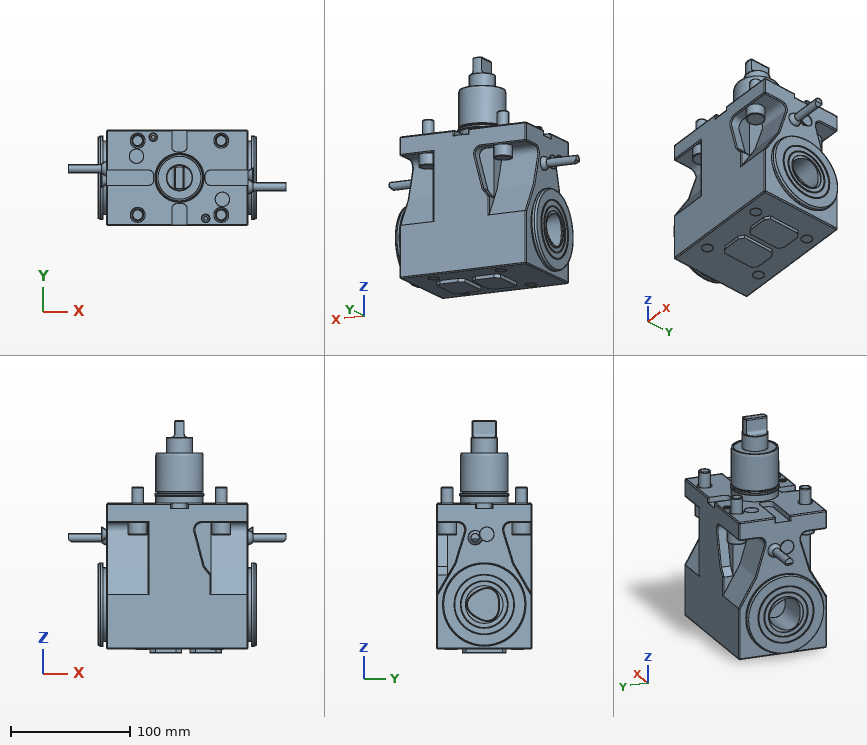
import cadquery as cq
import math


BODY_LENGTH = 118.6
BODY_WIDTH = 80.0
BODY_HEIGHT = 122.3
BODY_CENTER_X = -1.85
EDGE_CHAMFER = 1.0
HALF_LENGTH = BODY_LENGTH / 2
HALF_WIDTH = BODY_WIDTH / 2

SHELF_DEPTH = 16.3
POCKET_WALL_X = 26.5
NECK_HALF_WIDTH = 14.2
BEND_HALF_WIDTH = 24.7
BEND_DEPTH = 50.5
POCKET_BOTTOM = 76.6
SHELF_FILLET = 6.0
BEND_FILLET = 9.7
OVERCUT = 9.7

WINDOW_DEPTH = 9.1
WINDOW_TOP_X = 11.0
WINDOW_BEND_X = 20.8
WINDOW_BEND_DEPTH = 53.1
WINDOW_BOTTOM = 60.1

KEYWAY_WIDTH = 12.8
KEYWAY_DEPTH = 4.7
KEYWAY_START = 21.5
KEYWAY_CORNER = 4.5

COLLAR_DIAMETER = 39.9
COLLAR_TOP = 42.0
COLLAR_CHAMFER_WIDTH = 0.5
COLLAR_CHAMFER_HEIGHT = 2.3
COLLAR_RECESS_DIAMETER = 36.0
COLLAR_RECESS_DEPTH = 0.4
COLLAR_ROOT = 2.0
SEAL_GROOVE_DIAMETER = 36.5
SEAL_GROOVE_BOTTOM = 5.6
SEAL_GROOVE_TOP = 9.7
SEAL_DIAMETER = 41.2
SEAL_HEIGHT = 3.0
SEAL_CHAMFER = 0.8
NECK_DIAMETER = 22.0
NECK_TOP = 55.0
NECK_CHAMFER = 0.4
TANG_DIAMETER = 20.6
TANG_THICKNESS = 8.0
TANG_TOP = 69.0
TANG_FILLET = 3.1
TANG_CHAMFER_WIDTH = 0.5
TANG_CHAMFER_HEIGHT = 1.2

SCREW_X = 35.0
SCREW_Y = 31.1
SCREW_DIAMETER = 10.0
SCREW_TOP = 13.5
SCREW_CHAMFER = 0.8
HEAD_DIAMETER = 16.0
HEAD_HEIGHT = 10.3
HEAD_CHAMFER = 0.5
COUNTERSINK_DIAMETER = 12.5

SEAT_X = 36.0
SEAT_Y = 18.0
SEAT_DIAMETER = 12.0
SEAT_DEPTH = 0.2

SET_SCREW_X = 22.0
SET_SCREW_Y = 34.0
SET_SCREW_RIM = 7.0
SET_SCREW_DIAMETER = 6.0
SET_SCREW_RECESS = 1.0
HEX_SIZE = 3.5
HEX_DEPTH = 3.0

FLANGE_AXIS_Z = -85.0
FLANGE_DIAMETER = 70.0
FLANGE_FACE_DIAMETER = 68.0
FLANGE_THICKNESS = 4.0
FLANGE_BEVEL = 2.0
HUB_DIAMETER = 62.0
FLANGE_REACH = 7.0
RING_GROOVE_DIAMETERS = (50.5, 39.9)
RING_GROOVE_SIZE = 0.5
SOCKET_RIM_DIAMETER = 31.5
SOCKET_RIM_DEPTH = 0.5
SOCKET_MEAN_RADIUS = 13.9
SOCKET_LOBE = 1.0
SOCKET_DEPTH = 31.1
SOCKET_NARROWING = 0.8
SOCKET_POINTS = 36

PIPE_Y = 7.5
PIPE_Z = -29.0
PIPE_DIAMETER = 7.0
PIPE_REACH = 32.0
PIPE_TIP_BEVEL = 2.5
PIPE_BASE_DIAMETER = 12.0
PIPE_BASE_SINK = 0.5
PLUG_Y = -2.1
PLUG_Z = -26.0
PLUG_DIAMETER = 12.0
PLUG_ROOT_DIAMETER = 6.6
PLUG_RIM = 0.5
PLUG_REACH = 4.3

PAD_CENTERS_X = (-11.5, 22.0)
PAD_LENGTH = 26.5
PAD_WIDTH = 36.5
PAD_HEIGHT = 3.1
PAD_CORNER_X = 4.7
PAD_CORNER_Y = 3.1
DISC_X = 31.5
DISC_Y = 28.0
DISC_DIAMETER = 10.0
DISC_HEIGHT = 0.4


def turned(profile):
    """Revolve (radius, height) points around the Z axis."""
    return cq.Workplane("XZ").polyline(profile).close().revolve(360, (0, 0), (0, 1))


def half_turned(shape):
    """The same shape turned half a revolution around the spindle axis."""
    return shape.rotate((0, 0, 0), (0, 0, 1), 180)


def pocket_cutter():
    """The prism along X that clears one side of the neck, on the +Y side."""
    outside = HALF_WIDTH + OVERCUT
    points = [
        (outside, -SHELF_DEPTH),
        (NECK_HALF_WIDTH, -SHELF_DEPTH),
        (BEND_HALF_WIDTH, -BEND_DEPTH),
        (HALF_WIDTH, -POCKET_BOTTOM),
        (outside, -POCKET_BOTTOM),
    ]
    prism = cq.Workplane("YZ").workplane(offset=POCKET_WALL_X).polyline(points).close().extrude(HALF_LENGTH)
    prism = prism.edges(cq.NearestToPointSelector((HALF_LENGTH, NECK_HALF_WIDTH, -SHELF_DEPTH)))
    prism = prism.fillet(SHELF_FILLET)
    bend = cq.NearestToPointSelector((POCKET_WALL_X + HALF_LENGTH / 2, BEND_HALF_WIDTH, -BEND_DEPTH))
    return prism.edges("|X").edges(bend).fillet(BEND_FILLET)


def window_cutter():
    """The shallow window beside the pocket on the -Y, +X corner."""
    inside_pocket = POCKET_WALL_X + 2
    points = [
        (inside_pocket, -SHELF_DEPTH),
        (WINDOW_TOP_X, -SHELF_DEPTH),
        (WINDOW_BEND_X, -WINDOW_BEND_DEPTH),
        (POCKET_WALL_X, -WINDOW_BOTTOM),
        (inside_pocket, -WINDOW_BOTTOM),
    ]
    floor_y = WINDOW_DEPTH - HALF_WIDTH
    window = cq.Workplane("XZ", origin=(0, floor_y, 0)).polyline(points).close().extrude(WINDOW_DEPTH)
    corner = cq.NearestToPointSelector((WINDOW_TOP_X, floor_y - WINDOW_DEPTH / 2, -SHELF_DEPTH))
    return window.edges("|Y").edges(corner).fillet(SHELF_FILLET)


def keyway_cutter(angle):
    """A keyway running outward from the spindle."""
    length = HALF_LENGTH + OVERCUT
    slot = cq.Workplane("XY").box(length, KEYWAY_WIDTH, KEYWAY_DEPTH, centered=(False, True, False))
    slot = slot.edges("|Z and <X").fillet(KEYWAY_CORNER)
    return slot.translate((KEYWAY_START, 0, -KEYWAY_DEPTH)).rotate((0, 0, 0), (0, 0, 1), angle)


def is_chamfered(edge):
    """All outer edges but the keyway floors and the lower ends of the pockets."""
    height = edge.Center().z
    return min(abs(height + KEYWAY_DEPTH), abs(height + POCKET_BOTTOM)) > EDGE_CHAMFER


def housing():
    block = cq.Workplane("XY").box(BODY_LENGTH, BODY_WIDTH, BODY_HEIGHT, centered=(True, True, False))
    block = block.translate((BODY_CENTER_X, 0, -BODY_HEIGHT))
    pocket = pocket_cutter()
    for cutter in (pocket, pocket.mirror("XZ")):
        block = block.cut(cutter).cut(half_turned(cutter))
    window = window_cutter()
    block = block.cut(window).cut(half_turned(window))
    for quarter in range(4):
        block = block.cut(keyway_cutter(90 * quarter))
    sharp_edges = block.faces("<X or >X or <Y or >Y").edges().filter(is_chamfered)
    return sharp_edges.chamfer(EDGE_CHAMFER)


def spindle():
    collar_radius = COLLAR_DIAMETER / 2
    collar = turned([
        (0, -COLLAR_ROOT),
        (collar_radius, -COLLAR_ROOT),
        (collar_radius, SEAL_GROOVE_BOTTOM),
        (SEAL_GROOVE_DIAMETER / 2, SEAL_GROOVE_BOTTOM),
        (SEAL_GROOVE_DIAMETER / 2, SEAL_GROOVE_TOP),
        (collar_radius, SEAL_GROOVE_TOP),
        (collar_radius, COLLAR_TOP - COLLAR_CHAMFER_HEIGHT),
        (collar_radius - COLLAR_CHAMFER_WIDTH, COLLAR_TOP),
        (COLLAR_RECESS_DIAMETER / 2, COLLAR_TOP),
        (COLLAR_RECESS_DIAMETER / 2, COLLAR_TOP - COLLAR_RECESS_DEPTH),
        (0, COLLAR_TOP - COLLAR_RECESS_DEPTH),
    ])
    seal = cq.Workplane("XY", origin=(0, 0, SEAL_GROOVE_BOTTOM)).circle(SEAL_DIAMETER / 2)
    seal = seal.extrude(SEAL_HEIGHT).edges().chamfer(SEAL_CHAMFER)
    neck = cq.Workplane("XY").circle(NECK_DIAMETER / 2).extrude(NECK_TOP).edges(">Z").chamfer(NECK_CHAMFER)
    tang = cq.Workplane("XY").circle(TANG_DIAMETER / 2).extrude(TANG_TOP)
    flat_cut = cq.Workplane("XY").box(NECK_DIAMETER, NECK_DIAMETER * 2, TANG_TOP, centered=(False, True, False))
    flat_cut = flat_cut.edges("|Y and <X and <Z").fillet(TANG_FILLET)
    flat_cut = flat_cut.translate((TANG_THICKNESS / 2, 0, NECK_TOP))
    tang = tang.cut(flat_cut).cut(half_turned(flat_cut))
    tang = tang.faces(">Z").edges().chamfer(TANG_CHAMFER_WIDTH, TANG_CHAMFER_HEIGHT)
    return collar.union(seal).union(neck).union(tang)


def screw_countersink():
    depth = (COUNTERSINK_DIAMETER - SCREW_DIAMETER) / 2
    return cq.Workplane("XY").add(
        cq.Solid.makeCone(SCREW_DIAMETER / 2, COUNTERSINK_DIAMETER / 2, depth, cq.Vector(0, 0, -depth))
    )


def screw():
    shank = cq.Workplane("XY", origin=(0, 0, -SHELF_DEPTH)).circle(SCREW_DIAMETER / 2)
    shank = shank.extrude(SHELF_DEPTH + SCREW_TOP).edges(">Z").chamfer(SCREW_CHAMFER)
    head = cq.Workplane("XY", origin=(0, 0, -SHELF_DEPTH)).circle(HEAD_DIAMETER / 2)
    head = head.extrude(-HEAD_HEIGHT).edges("<Z").chamfer(HEAD_CHAMFER)
    return shank.union(head)


def set_screw_recess():
    bevel = (SET_SCREW_RIM - SET_SCREW_DIAMETER) / 2
    recess = turned([
        (0, 0),
        (SET_SCREW_RIM / 2, 0),
        (SET_SCREW_DIAMETER / 2, -bevel),
        (SET_SCREW_DIAMETER / 2, -SET_SCREW_RECESS),
        (0, -SET_SCREW_RECESS),
    ])
    hexagon = cq.Workplane("XY").polygon(6, HEX_SIZE).extrude(-HEX_DEPTH)
    return recess.union(hexagon)


def socket_outline(mean_radius, z):
    """The three-lobed outline of the tool socket, one lobe toward -Y, as a closed wire at height z."""
    points = []
    for step in range(SOCKET_POINTS):
        angle = 2 * math.pi * step / SOCKET_POINTS
        radius = mean_radius + SOCKET_LOBE * math.sin(3 * angle)
        points.append(cq.Vector(radius * math.cos(angle), radius * math.sin(angle), z))
    return cq.Wire.assembleEdges([cq.Edge.makeSpline(points, periodic=True)])


def tool_flange():
    """The hub and flange standing on Z = 0 and facing +Z."""
    flange = turned([
        (0, 0),
        (HUB_DIAMETER / 2, 0),
        (HUB_DIAMETER / 2, FLANGE_REACH - FLANGE_THICKNESS),
        (FLANGE_DIAMETER / 2, FLANGE_REACH - FLANGE_THICKNESS),
        (FLANGE_DIAMETER / 2, FLANGE_REACH - FLANGE_BEVEL),
        (FLANGE_FACE_DIAMETER / 2, FLANGE_REACH),
        (0, FLANGE_REACH),
    ])
    face = cq.Workplane("XY", origin=(0, 0, FLANGE_REACH))
    for diameter in RING_GROOVE_DIAMETERS:
        ring = face.circle(diameter / 2).circle(diameter / 2 - RING_GROOVE_SIZE).extrude(-RING_GROOVE_SIZE)
        flange = flange.cut(ring)
    return flange.cut(face.circle(SOCKET_RIM_DIAMETER / 2).extrude(-SOCKET_RIM_DEPTH))


def tool_socket():
    """The socket narrows evenly from its mouth on the flange face to its floor."""
    mouth = socket_outline(SOCKET_MEAN_RADIUS, FLANGE_REACH)
    floor = socket_outline(SOCKET_MEAN_RADIUS - SOCKET_NARROWING, FLANGE_REACH - SOCKET_DEPTH)
    return cq.Workplane("XY").add(cq.Solid.makeLoft([mouth, floor], True))


def coolant_pipe():
    """The pipe rising from a ball sunk below Z = 0; the tip is bevelled on the +X side."""
    pipe_radius = PIPE_DIAMETER / 2
    pipe = cq.Workplane("XY").circle(pipe_radius).extrude(PIPE_REACH)
    tip = cq.Workplane("XZ").polyline([
        (pipe_radius, PIPE_REACH),
        (pipe_radius - PIPE_TIP_BEVEL, PIPE_REACH),
        (pipe_radius, PIPE_REACH - PIPE_TIP_BEVEL),
    ]).close().extrude(PIPE_DIAMETER, both=True)
    ball = cq.Workplane("XY").sphere(PIPE_BASE_DIAMETER / 2).translate((0, 0, -PIPE_BASE_SINK))
    return pipe.cut(tip).union(ball)


def plug():
    return turned([
        (0, 0),
        (PLUG_ROOT_DIAMETER / 2, 0),
        (PLUG_DIAMETER / 2, PLUG_REACH - PLUG_RIM),
        (PLUG_DIAMETER / 2, PLUG_REACH),
        (0, PLUG_REACH),
    ])


def on_end(shape, side, y, z):
    """Turn a shape that faces +Z toward one end of the housing; side is +1 for +X and -1 for -X."""
    facing_end = shape.rotate((0, 0, 0), (0, 1, 0), 90)
    if side < 0:
        facing_end = half_turned(facing_end)
    return facing_end.translate((BODY_CENTER_X + side * HALF_LENGTH, y, z))


def pad():
    x = PAD_LENGTH / 2
    y = PAD_WIDTH / 2
    inner_x = x - PAD_CORNER_X
    inner_y = y - PAD_CORNER_Y
    outline = [
        (inner_x, y), (-inner_x, y), (-x, inner_y), (-x, -inner_y),
        (-inner_x, -y), (inner_x, -y), (x, -inner_y), (x, inner_y),
    ]
    return cq.Workplane("XY", origin=(0, 0, -BODY_HEIGHT)).polyline(outline).close().extrude(-PAD_HEIGHT)


result = housing().union(spindle())

for x in (-SCREW_X, SCREW_X):
    for y in (-SCREW_Y, SCREW_Y):
        result = result.cut(screw_countersink().translate((x, y, 0)))
        result = result.union(screw().translate((x, y, 0)))

for side in (-1, 1):
    seat = cq.Workplane("XY").circle(SEAT_DIAMETER / 2).extrude(-SEAT_DEPTH)
    result = result.cut(seat.translate((side * SEAT_X, -side * SEAT_Y, 0)))
    result = result.cut(set_screw_recess().translate((side * SET_SCREW_X, -side * SET_SCREW_Y, 0)))
    result = result.union(on_end(tool_flange(), side, 0, FLANGE_AXIS_Z))
    result = result.cut(on_end(tool_socket(), side, 0, FLANGE_AXIS_Z))
    result = result.union(on_end(plug(), side, -side * PLUG_Y, PLUG_Z))
    result = result.union(on_end(coolant_pipe(), side, -side * PIPE_Y, PIPE_Z))

for x in PAD_CENTERS_X:
    result = result.union(pad().translate((x, 0, 0)))

discs = cq.Workplane("XY", origin=(0, 0, -BODY_HEIGHT)).rect(2 * DISC_X, 2 * DISC_Y, forConstruction=True)
result = result.union(discs.vertices().circle(DISC_DIAMETER / 2).extrude(-DISC_HEIGHT))